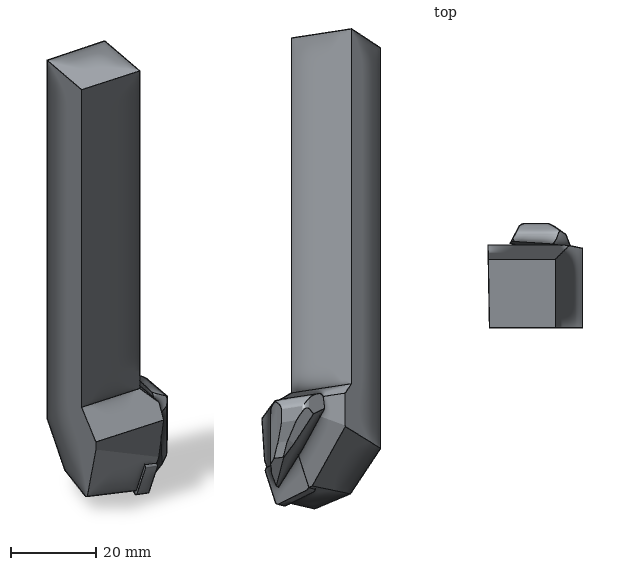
import cadquery as cq
import math

overall_length = 114.3
shank_size = 16.0
shank_right = 15.8
head_width = 22.2
head_depth = 19.4
side_draft = 0.3
shoulder_z = 26.9
head_right_z = 20.7
ramp_drop = 3.3
front_nose_radius = 0.9

rake_y = 17.3
rake_x = -0.069
rake_z = 0.14

insert_size = 9.5
insert_thickness = 3.2
insert_radius = 0.8
insert_angle = math.radians(15)
insert_tip_x = 19.8
insert_tip_z = -0.18

rake_normal = (-rake_x, 1, -rake_z)
cut_size = 68.6


def rake_point(x, z):
    """Point of the rake plane above the given X and Z."""
    return (x, rake_y + rake_x * x + rake_z * z, z)


def xz_plane(y):
    """Sketch plane with local axes X and Z; its normal is -Y."""
    return cq.Plane(origin=(0, y, 0), xDir=(1, 0, 0), normal=(0, -1, 0))


def holder_outline(left, left_z, heel, nose, flank_z):
    """Outline of the holder in X and Z, with the shank and the cutting head."""
    return [
        (left, overall_length),
        (left, left_z),
        heel,
        nose,
        (head_width, flank_z),
        (head_width, head_right_z),
        (shank_right, shoulder_z),
        (shank_right, overall_length),
    ]


def make_blank():
    """Holder blank; the cutting flanks lean outward from front to back."""
    front = holder_outline(side_draft, 15.7, (8.2, 5.6), (18.2, 3.1), 18.5)
    back = holder_outline(0, 15.3, (10.1, 2.4), (19.5, 0), 10.0)
    blank = cq.Solid.makeLoft(
        [
            cq.Workplane(xz_plane(0)).polyline(front).close().val(),
            cq.Workplane(xz_plane(head_depth)).polyline(back).close().val(),
        ],
        True,
    )
    nose_middle = (18.9, head_depth / 2, 1.54)
    return cq.Workplane(blank).edges(cq.NearestToPointSelector(nose_middle)).fillet(front_nose_radius)


def make_back_step():
    """Space behind the shank, with the ramp down to the head."""
    return (
        cq.Workplane("YZ")
        .polyline([
            (shank_size, overall_length),
            (shank_size, shoulder_z),
            (head_depth, shoulder_z - ramp_drop),
            (head_depth, overall_length),
        ])
        .close()
        .extrude(head_width)
    )


def make_rake_space():
    """Space behind the rake plane."""
    plane = cq.Plane(origin=rake_point(0, 0), xDir=(1, rake_x, 0), normal=rake_normal)
    return cq.Workplane(plane).rect(2 * cut_size, 2 * cut_size).extrude(cut_size)


def make_clamp_boss():
    """Raised clamp: the common part of its three profiles, down to the rake plane."""
    foot = 16.0
    back = 24.5
    left = 5.0
    right = 19.2
    bottom = 3.9
    top = 24.5
    corner_radius = 2.3
    rim_chamfer = 1.8
    plan = (
        cq.Workplane(xz_plane(foot))
        .polyline([(6.3, top), (4.1, 21.8), (11.8, 11.9), (18.9, bottom), (right, 20.5), (15.5, top)])
        .close()
        .extrude(foot - back)
        .edges("|Y and >Z or |Y and <X")
        .fillet(corner_radius)
        .faces(">Y")
        .chamfer(rim_chamfer)
    )
    across = (
        cq.Workplane("XY")
        .moveTo(left, foot)
        .lineTo(left, head_depth)
        .lineTo(7.3, 23.8)
        .threePointArc((7.9, 24.2), (8.8, back))
        .lineTo(14.2, back)
        .lineTo(15.7, 23.7)
        .lineTo(18.3, 21.8)
        .lineTo(right, head_depth)
        .lineTo(right, foot)
        .close()
        .extrude(shoulder_z)
    )
    along = (
        cq.Workplane("YZ")
        .moveTo(foot, top)
        .lineTo(head_depth, top)
        .lineTo(21.7, 23.5)
        .threePointArc((23.9, 21.8), (back, 19.4))
        .lineTo(back, 16.8)
        .lineTo(23.8, 12.2)
        .lineTo(22.7, 8.9)
        .lineTo(head_depth, 5.6)
        .lineTo(17.7, bottom)
        .lineTo(foot, bottom)
        .close()
        .extrude(head_width)
    )
    return plan.intersect(across).intersect(along).intersect(make_rake_space())


def make_insert():
    """Square plate with rounded corners, lying flush with the rake plane."""
    edge_x = -math.cos(insert_angle)
    edge_z = math.sin(insert_angle)
    plane = cq.Plane(
        origin=rake_point(insert_tip_x, insert_tip_z),
        xDir=(edge_x, rake_x * edge_x + rake_z * edge_z, edge_z),
        normal=rake_normal,
    )
    return (
        cq.Workplane(plane)
        .rect(insert_size, insert_size, centered=False)
        .extrude(-insert_thickness)
        .edges(cq.selectors.ParallelDirSelector(cq.Vector(*rake_normal)))
        .fillet(insert_radius)
    )


insert = make_insert()
holder = (
    make_blank()
    .cut(make_back_step())
    .cut(make_rake_space())
    .union(make_clamp_boss())
    .cut(insert)
)

result = cq.Compound.makeCompound([holder.val(), insert.val()])